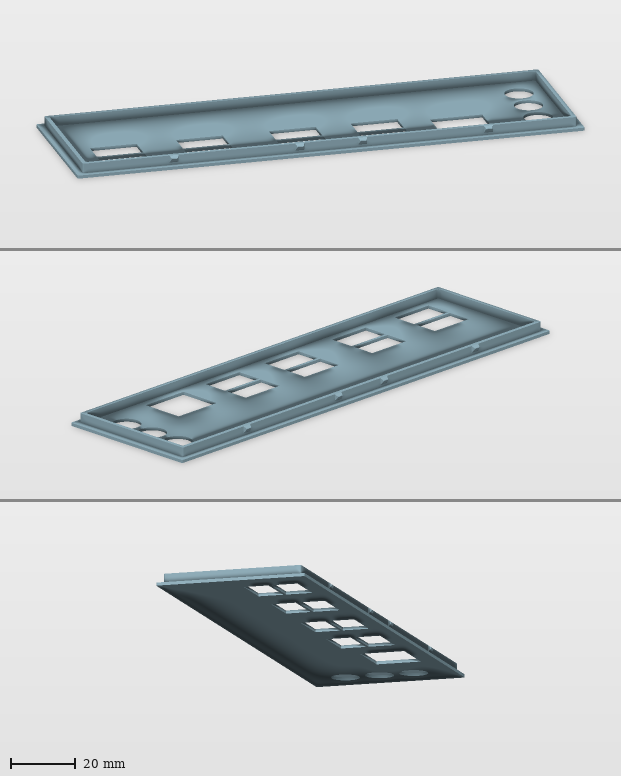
import cadquery as cq

plate_width = 48.0
plate_length = 162.0
plate_thickness = 1.0

total_height = 4.0
flange_x = 1.8
flange_y = 2.1
rim_wall = 1.3
rim_width = plate_width - 2 * flange_x
rim_length = plate_length - 2 * flange_y
rim_height = total_height - plate_thickness

plate_corner_radius = 0.5
rim_outer_radius = 0.5
rim_inner_radius = 0.8

jack_diameter = 9.0
jack_pitch = 11.0
jack_y = 69.7

port_right = 18.5
large_port_width = 14.3
large_port_length = 16.7
large_port_y = 45.4

split_port_width = 17.3
split_port_length = 14.9
split_port_ys = [20.0, -6.2, -35.8, -63.3]
divider_width = 1.0
divider_x = 9.5

clip_reach = 1.0
clip_root_width = 2.9
clip_tip_width = 2.0
clip_bottom = 1.8
clip_top = total_height
clip_tip_height = 0.2
clip_tip_z = 3.2
clip_centre_y = 0.5
clip_inner_offset = 10.0
clip_outer_offset = 50.2


def rounded_block(width, length, height, radius):
    block = cq.Workplane("XY").box(width, length, height, centered=(True, True, False))
    return block.edges("|Z").fillet(radius)


def rectangular_cutter(left, right, centre_y, length):
    width = right - left
    cutter = cq.Workplane("XY").box(width, length, plate_thickness, centered=(False, True, False))
    return cutter.translate((left, centre_y, 0))


def tray():
    plate = rounded_block(plate_width, plate_length, plate_thickness, plate_corner_radius)
    outside = rounded_block(rim_width, rim_length, rim_height, rim_outer_radius)
    inside_width = rim_width - 2 * rim_wall
    inside_length = rim_length - 2 * rim_wall
    inside = rounded_block(inside_width, inside_length, rim_height, rim_inner_radius)
    rim = outside.cut(inside).translate((0, 0, plate_thickness))
    return plate.union(rim)


def jack_holes():
    centres = [(i * jack_pitch, jack_y) for i in (-1, 0, 1)]
    return cq.Workplane("XY").pushPoints(centres).circle(jack_diameter / 2).extrude(plate_thickness)


def split_port(centre_y):
    """Opening split into two windows by a thin divider along Y."""
    port_left = port_right - split_port_width
    divider_left = divider_x - divider_width / 2
    divider_right = divider_x + divider_width / 2
    left_window = rectangular_cutter(port_left, divider_left, centre_y, split_port_length)
    right_window = rectangular_cutter(divider_right, port_right, centre_y, split_port_length)
    return left_window.union(right_window)


def clip():
    """Catch on the +X wall of the rim, tapering on all four sides to a narrow tip."""
    root_height = clip_top - clip_bottom
    root_centre_z = (clip_top + clip_bottom) / 2
    return (
        cq.Workplane("YZ", origin=(rim_width / 2, 0, 0))
        .center(0, root_centre_z)
        .rect(clip_root_width, root_height)
        .workplane(offset=clip_reach)
        .center(0, clip_tip_z - root_centre_z)
        .rect(clip_tip_width, clip_tip_height)
        .loft(ruled=True)
    )


def clips():
    right_clip = clip()
    clip_pair = right_clip.union(right_clip.mirror("YZ"))
    row = cq.Workplane("XY")
    for offset in (-clip_outer_offset, -clip_inner_offset, clip_inner_offset, clip_outer_offset):
        row = row.add(clip_pair.translate((0, clip_centre_y + offset, 0)))
    return row.combine()


large_port = rectangular_cutter(
    port_right - large_port_width, port_right, large_port_y, large_port_length
)

result = tray().cut(jack_holes()).cut(large_port)
for port_y in split_port_ys:
    result = result.cut(split_port(port_y))
result = cq.Workplane(result.union(clips()).solids().val())